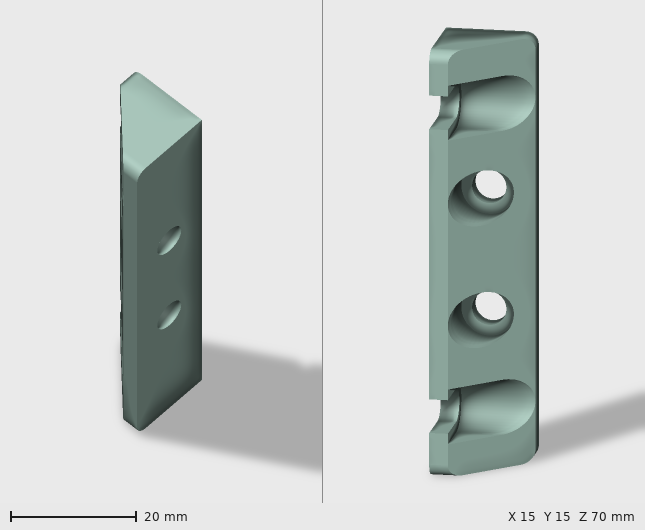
import cadquery as cq

length = 70.0
leg = 15.0
wall = 3.0
corner_radius = 2.0
screw_diameter = 5.5
head_diameter = 9.0
slot_spacing = 50.0
hole_spacing = 20.0

seat = leg - wall
screw_center = seat - head_diameter / 2


def bracket_body():
    """Square bar with one corner cut off diagonally and rounded ends on both legs."""
    profile = [(0, leg), (leg, leg), (leg, 0), (seat, 0), (0, seat)]
    bar = cq.Workplane("XY").workplane(offset=-length / 2).polyline(profile).close().extrude(length)
    envelope = cq.Workplane("XY").box(leg, leg, length, centered=(False, False, True))
    envelope = envelope.edges("(<X and |Y) or (<Y and |X)").edges("<Z or >Z").fillet(corner_radius)
    return bar.intersect(envelope)


def open_slot(diameter, z, y_start, y_end):
    """Round-ended slot cutter along Y, open toward X = 0."""
    depth = y_end - y_start
    plane = cq.Workplane("XZ", origin=(0, y_end, z))
    round_end = plane.center(screw_center, 0).circle(diameter / 2).extrude(depth)
    straight = plane.center(screw_center / 2, 0).rect(screw_center, diameter).extrude(depth)
    return round_end.union(straight)


def round_hole(diameter, z, x_start, x_end):
    """Cylindrical cutter along X."""
    plane = cq.Workplane("YZ", origin=(x_start, screw_center, z))
    return plane.circle(diameter / 2).extrude(x_end - x_start)


result = bracket_body()

for side in (-1, 1):
    slot_z = side * slot_spacing / 2
    result = result.cut(open_slot(screw_diameter, slot_z, 0, leg))
    result = result.cut(open_slot(head_diameter, slot_z, 0, seat))

    hole_z = side * hole_spacing / 2
    result = result.cut(round_hole(screw_diameter, hole_z, 0, leg))
    result = result.cut(round_hole(head_diameter, hole_z, 0, seat))